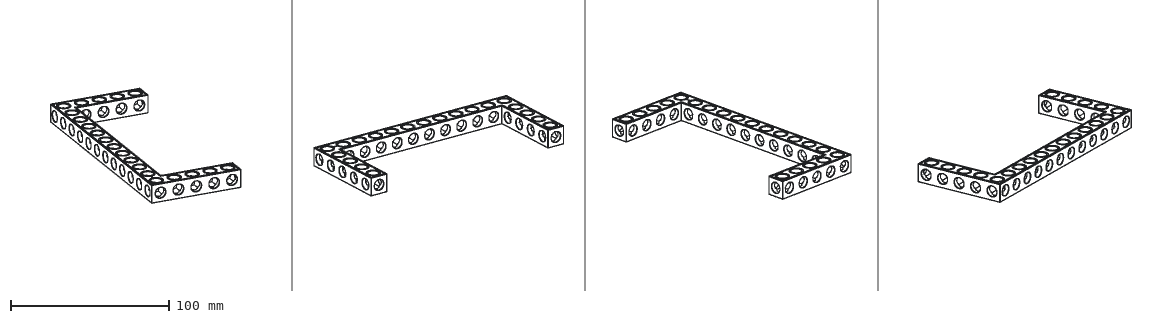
import cadquery as cq

length = 150.0
holes_along_base = 12
holes_along_arm = 5
hole_diameter = 7.0
hole_chamfer = 0.27
edge_chamfer = 0.3
panel_inset = 1.0
panel_step = 0.22
link_width = 0.3

pitch = length / holes_along_base
beam = pitch
depth = holes_along_arm * pitch
middle = beam / 2

base_stations = [(i + 0.5) * pitch for i in range(holes_along_base)]
arm_stations = [(i + 0.5) * pitch for i in range(holes_along_arm)]
frame_points = [(x, middle) for x in base_stations]
frame_points += [(x, y) for x in (middle, length - middle) for y in arm_stations[1:]]


def u_outline(inset):
    """U-shaped outline of the frame, drawn in by an equal margin on every side."""
    near, far = inset, beam - inset
    return [
        (near, near),
        (length - near, near),
        (length - near, depth - near),
        (length - far, depth - near),
        (length - far, far),
        (far, far),
        (far, depth - near),
        (near, depth - near),
    ]


def frame_body():
    """U-shaped frame with every sharp edge lightly broken."""
    body = cq.Workplane("XY").polyline(u_outline(0)).close().extrude(beam)
    return body.edges().chamfer(edge_chamfer)


def top_panel():
    """Shallow recess in the top, leaving a rim along the outline and round each hole.

    A thin link stays standing between the rims of the last two holes of the base.
    """
    floor = cq.Workplane("XY", origin=(0, 0, beam - panel_step))
    panel = floor.polyline(u_outline(panel_inset)).close().extrude(panel_step)
    rim_radius = hole_diameter / 2 + panel_inset
    rims = floor.pushPoints(frame_points).circle(rim_radius).extrude(panel_step)
    link_middle = length - pitch
    link = floor.center(link_middle, middle).rect(pitch, link_width).extrude(panel_step)
    return panel.cut(rims).cut(link)


def chamfered_bore(bore_length):
    """Bore along +Z that starts at the origin and flares at both ends."""
    radius = hole_diameter / 2
    mouth_radius = radius + hole_chamfer
    profile = [
        (0, 0),
        (mouth_radius, 0),
        (radius, hole_chamfer),
        (radius, bore_length - hole_chamfer),
        (mouth_radius, bore_length),
        (0, bore_length),
    ]
    return cq.Workplane("XZ").polyline(profile).close().revolve(360, (0, 0), (0, 1)).val()


bore = chamfered_bore(beam)
bore_along_y = bore.rotate((0, 0, 0), (1, 0, 0), -90)
bore_along_x = bore.rotate((0, 0, 0), (0, 1, 0), 90)
arm_bore = chamfered_bore(depth).rotate((0, 0, 0), (1, 0, 0), -90)
base_bore = chamfered_bore(length).rotate((0, 0, 0), (0, 1, 0), 90)

cutters = [bore.translate((x, y, 0)) for x, y in frame_points]
cutters += [bore_along_y.translate((x, 0, middle)) for x in base_stations[1:-1]]
cutters += [arm_bore.translate((x, 0, middle)) for x in (middle, length - middle)]
cutters += [bore_along_x.translate((x, y, middle)) for x in (0, length - beam) for y in arm_stations[1:]]
cutters.append(base_bore.translate((0, middle, middle)))

result = frame_body().cut(top_panel())
for cutter in cutters:
    result = result.cut(cutter)